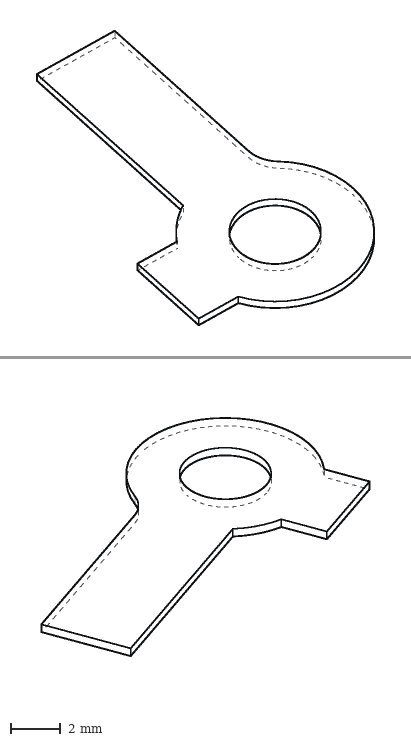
import cadquery as cq

thickness = 0.38
ring_diameter = 8.0
hole_diameter = 3.7
tab_width = 4.0
long_tab_reach = 13.0
short_tab_reach = 5.5
corner_radius = 1.6


def make_ring_disc():
    return cq.Workplane("XY").circle(ring_diameter / 2).extrude(thickness)


def make_long_tab():
    """Tab running from the hole axis toward -X."""
    return (
        cq.Workplane("XY")
        .center(-long_tab_reach / 2, 0)
        .rect(long_tab_reach, tab_width)
        .extrude(thickness)
    )


def make_short_tab():
    """Tab running from the hole axis toward -Y."""
    return (
        cq.Workplane("XY")
        .center(0, -short_tab_reach / 2)
        .rect(tab_width, short_tab_reach)
        .extrude(thickness)
    )


def round_inside_corner(body):
    """Round the corner where the +Y side of the long tab meets the ring."""
    half_width = tab_width / 2
    corner_x = -((ring_diameter / 2) ** 2 - half_width ** 2) ** 0.5
    corner = cq.selectors.NearestToPointSelector((corner_x, half_width, thickness / 2))
    return body.edges("|Z").edges(corner).fillet(corner_radius)


def cut_hole(body):
    hole = cq.Workplane("XY").circle(hole_diameter / 2).extrude(thickness)
    return body.cut(hole)


blank = make_ring_disc().union(make_long_tab()).union(make_short_tab())
result = cut_hole(round_inside_corner(blank))